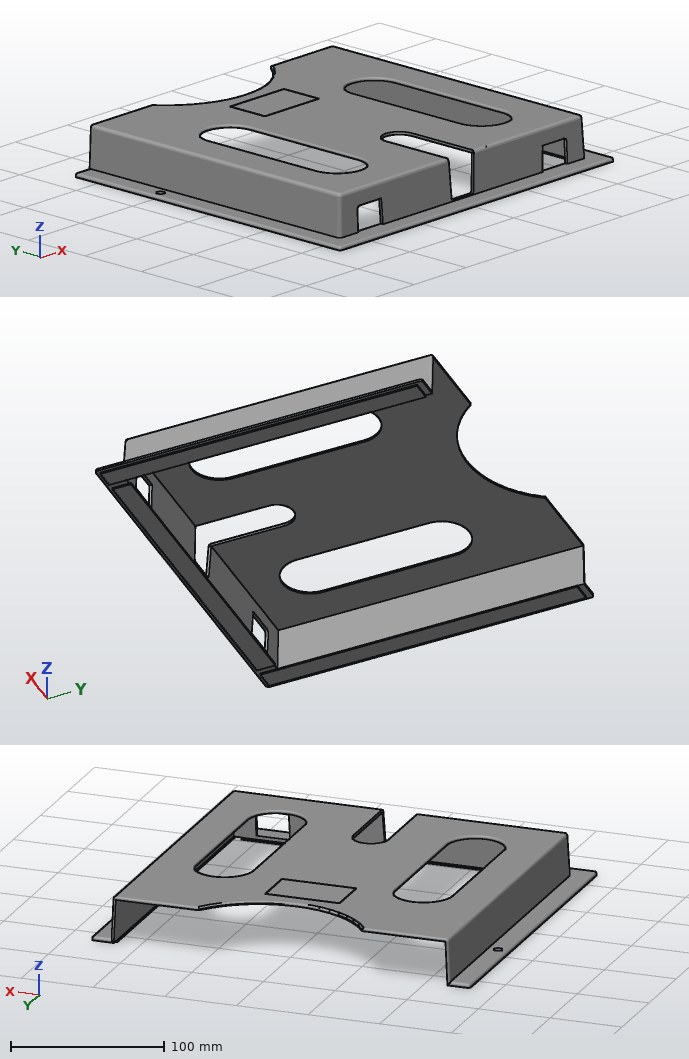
import cadquery as cq

width = 264.0
depth = 236.0
height = 33.3

strip_thickness = 1.0
flange_thickness = 2.6
flange_top = strip_thickness + flange_thickness
flange_corner_round = 2.0
flange_rim_round = 1.8

sheet = 2.0
tray_half_width = 118.3
tray_depth = 223.0
draft_inset = 1.3
outer_round = 2.5
edge_round = 1.3

grip_half_width = 57.0
grip_depth = 29.5
slot_width = 39.5
slot_length = 134.6
slot_x = 69.5
slot_middle_y = -128.0
label_width = 51.7
label_length = 31.0
label_back_y = -40.5
label_recess = 0.3

notch_half_width = 12.1
notch_foot_half_width = 10.5
notch_end_y = -154.7
notch_bottom_z = 4.5
notch_foot_round = 2.0
window_outer_x = 100.5
window_inner_top_x = 77.5
window_inner_foot_x = 76.8
window_top_z = 21.5
window_round = 2.5

screw_hole_diameter = 5.8
screw_hole_x = (width / 2 + tray_half_width) / 2
screw_hole_y = -70.2

strip_width = 13.5
strip_margin = 2.6
strip_back_gap = 4.8
strip_gap = 5.3


def drafted_block(half_width, length, z_low, z_high):
    """Block from the back end whose sides and front lean in as they rise; sized at the flange top."""
    lean = draft_inset / (height - flange_top)

    def section(z):
        inset = lean * (z - flange_top)
        x = half_width - inset
        y = inset - length
        return cq.Wire.makePolygon(
            [cq.Vector(-x, 0, z), cq.Vector(x, 0, z), cq.Vector(x, y, z), cq.Vector(-x, y, z)],
            close=True,
        )

    return cq.Workplane(cq.Solid.makeLoft([section(z_low), section(z_high)], True))


def make_tray():
    """Solid drafted tray with rounded front corners and top edges."""
    tray = drafted_block(tray_half_width, tray_depth, strip_thickness, height)
    tray = tray.faces("<Y").edges("not |X").fillet(outer_round)
    return tray.faces(">Z").edges("not >Y").fillet(outer_round)


def make_flange():
    """Flat plate with rounded corners and a rounded top rim."""
    plate = (
        cq.Workplane("XY", origin=(0, -depth / 2, strip_thickness))
        .rect(width, depth)
        .extrude(flange_thickness)
    )
    plate = plate.edges("|Z").fillet(flange_corner_round)
    return plate.faces(">Z").edges().fillet(flange_rim_round)


def top_cutter(sketch):
    """Prism of a plan outline through the top sheet only."""
    return sketch.extrude(2 * sheet).translate((0, 0, height - sheet))


def grip_cutter():
    """Circular finger recess in the back edge of the top."""
    radius = (grip_half_width**2 + grip_depth**2) / (2 * grip_depth)
    return top_cutter(cq.Workplane("XY").center(0, radius - grip_depth).circle(radius))


def slot_cutter():
    """The two long slots in the top."""
    centres = [(-slot_x, slot_middle_y), (slot_x, slot_middle_y)]
    return top_cutter(cq.Workplane("XY").pushPoints(centres).slot2D(slot_length, slot_width, 90))


def front_wall_cutter(points):
    """Prism through the front wall from an outline in X and Z."""
    wall_reach = draft_inset + 2 * sheet
    return (
        cq.Workplane("XZ", origin=(0, wall_reach - tray_depth, 0))
        .polyline(points).close()
        .extrude(wall_reach + sheet)
    )


def notch_cutter():
    """Round-ended notch in the top that runs on down the front wall."""
    arc_centre_y = notch_end_y - notch_half_width
    plan = (
        cq.Workplane("XY")
        .moveTo(-notch_half_width, -depth)
        .lineTo(-notch_half_width, arc_centre_y)
        .threePointArc((0, notch_end_y), (notch_half_width, arc_centre_y))
        .lineTo(notch_half_width, -depth)
        .close()
    )
    wall_notch = front_wall_cutter([
        (-notch_half_width, height),
        (notch_half_width, height),
        (notch_foot_half_width, notch_bottom_z),
        (-notch_foot_half_width, notch_bottom_z),
    ])
    wall_notch = wall_notch.faces("<Z").edges("|Y").fillet(notch_foot_round)
    return top_cutter(plan).union(wall_notch)


def window_cutter(side):
    """Window at the foot of the front wall; side is -1 for left and 1 for right."""
    window = front_wall_cutter([
        (side * window_outer_x, flange_top),
        (side * window_outer_x, window_top_z),
        (side * window_inner_top_x, window_top_z),
        (side * window_inner_foot_x, flange_top),
    ])
    outer_end = ">X" if side > 0 else "<X"
    return window.faces(outer_end).edges(">Z").fillet(window_round)


def make_housing():
    """Document holder: a thin tray on a flange, open underneath and at the back."""
    cavity = drafted_block(tray_half_width - sheet, tray_depth - sheet, 0, height - sheet)
    housing = make_flange().union(make_tray()).cut(cavity).cut(grip_cutter()).cut(slot_cutter())

    rim_region = cq.selectors.BoxSelector(
        (-tray_half_width + 2 * sheet, slot_middle_y - slot_length, height - edge_round / 2),
        (tray_half_width - 2 * sheet, sheet, height + edge_round),
    )
    housing = housing.faces(">Z").edges(rim_region).fillet(edge_round)

    label = (
        cq.Workplane("XY", origin=(0, label_back_y - label_length / 2, height - label_recess))
        .rect(label_width, label_length)
        .extrude(sheet)
    )
    screw_holes = (
        cq.Workplane("XY")
        .pushPoints([(-screw_hole_x, screw_hole_y), (screw_hole_x, screw_hole_y)])
        .circle(screw_hole_diameter / 2)
        .extrude(height)
    )
    housing = housing.cut(label).cut(screw_holes).cut(notch_cutter())
    for side in (-1, 1):
        housing = housing.cut(window_cutter(side))
    return housing


def make_strip(x_low, x_high, y_low, y_high):
    """Flat adhesive strip under the flange."""
    return (
        cq.Workplane("XY", origin=((x_low + x_high) / 2, (y_low + y_high) / 2, 0))
        .rect(x_high - x_low, y_high - y_low)
        .extrude(strip_thickness)
    )


housing = make_housing()

strip_outer_x = width / 2 - strip_margin
strip_inner_x = strip_outer_x - strip_width
strip_front_y = strip_margin - depth
front_strip_end_x = strip_inner_x - strip_gap
strips = [
    make_strip(-strip_outer_x, -strip_inner_x, strip_front_y, -strip_back_gap),
    make_strip(strip_inner_x, strip_outer_x, strip_front_y, -strip_back_gap),
    make_strip(-front_strip_end_x, front_strip_end_x, strip_front_y, strip_front_y + strip_width),
]

result = cq.Compound.makeCompound([housing.val(), *[strip.val() for strip in strips]])